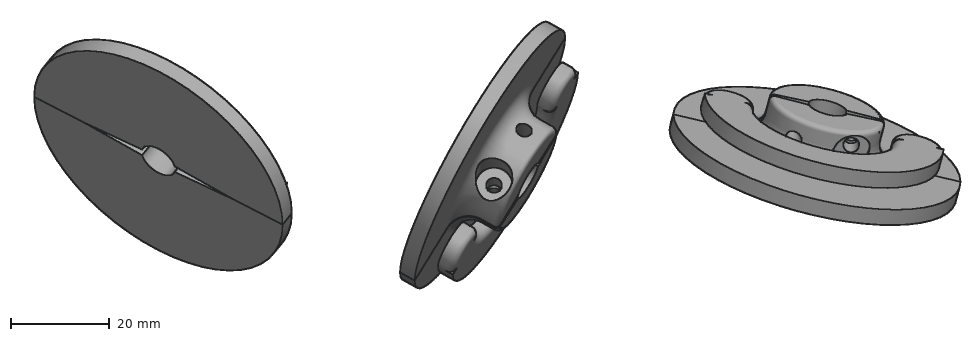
import cadquery as cq
import math

FLANGE_RADIUS = 30.0
FLANGE_THICKNESS = 3.5
HUB_RADIUS = 12.0
COLLAR_DEPTH = 12.5
BORE_RADIUS = 4.0
ROOT_FILLET = 5.0
RIM_FILLET = 1.0

GAP_HALF_LENGTH = 18.0
GAP_HALF_HEIGHT = 1.2

SCREW_OFFSET = 6.0
SCREW_Y = 8.0
SCREW_DIAMETER = 3.2
HEAD_DIAMETER = 7.5
HEAD_SEAT_HEIGHT = 6.0

RING_FRONT_Y = 6.0
RING_THICKNESS = 3.5
RING_OUTER_RADIUS = 24.95
RING_INNER_RADIUS = 14.5
RING_INNER_FILLET = 2.0
END_HEIGHT = 5.6
END_FILLET = 1.5


def xz_plane(y):
    """Plane facing +Y at the given depth, with local x along -X and local y along Z."""
    return cq.Plane(origin=(0, y, 0), xDir=(-1, 0, 0), normal=(0, 1, 0))


def make_collar_body():
    """Full turned collar: flange, flared root, hub and rounded rim around the Y axis."""
    root_center = (HUB_RADIUS + ROOT_FILLET, FLANGE_THICKNESS + ROOT_FILLET)
    root_offset = ROOT_FILLET * math.sqrt(0.5)
    root_middle = (root_center[0] - root_offset, root_center[1] - root_offset)
    rim_center = (HUB_RADIUS - RIM_FILLET, COLLAR_DEPTH - RIM_FILLET)
    rim_offset = RIM_FILLET * math.sqrt(0.5)
    rim_middle = (rim_center[0] + rim_offset, rim_center[1] + rim_offset)
    return (
        cq.Workplane("XY")
        .moveTo(BORE_RADIUS, 0)
        .lineTo(FLANGE_RADIUS, 0)
        .lineTo(FLANGE_RADIUS, FLANGE_THICKNESS)
        .lineTo(root_center[0], FLANGE_THICKNESS)
        .threePointArc(root_middle, (HUB_RADIUS, root_center[1]))
        .lineTo(HUB_RADIUS, rim_center[1])
        .threePointArc(rim_middle, (rim_center[0], COLLAR_DEPTH))
        .lineTo(BORE_RADIUS, COLLAR_DEPTH)
        .close()
        .revolve(360, (0, 0, 0), (0, 1, 0))
    )


def make_upper_space():
    """Region above the split line, with the tapered gap left out around the axis."""
    return (
        cq.Workplane(xz_plane(0))
        .polyline(
            [
                (-FLANGE_RADIUS, 0),
                (-GAP_HALF_LENGTH, 0),
                (0, GAP_HALF_HEIGHT),
                (GAP_HALF_LENGTH, 0),
                (FLANGE_RADIUS, 0),
                (FLANGE_RADIUS, FLANGE_RADIUS),
                (-FLANGE_RADIUS, FLANGE_RADIUS),
            ]
        )
        .close()
        .extrude(COLLAR_DEPTH)
    )


def make_collar_half():
    """Upper collar half: a plain screw hole at -X and a counterbored one at +X."""
    half = make_collar_body().intersect(make_upper_space())
    screw_plane = cq.Plane(origin=(0, SCREW_Y, 0), xDir=(1, 0, 0), normal=(0, 0, 1))
    screw_holes = (
        cq.Workplane(screw_plane)
        .pushPoints([(-SCREW_OFFSET, 0), (SCREW_OFFSET, 0)])
        .circle(SCREW_DIAMETER / 2)
        .extrude(FLANGE_RADIUS)
    )
    head_recess = (
        cq.Workplane(screw_plane)
        .workplane(offset=HEAD_SEAT_HEIGHT)
        .center(SCREW_OFFSET, 0)
        .circle(HEAD_DIAMETER / 2)
        .extrude(FLANGE_RADIUS)
    )
    return half.cut(screw_holes).cut(head_recess)


def make_ring_end(side):
    """Rounded end that stands on the half ring; side is -1 or 1 along X."""
    middle = (RING_OUTER_RADIUS + RING_INNER_RADIUS) / 2
    return (
        cq.Workplane(xz_plane(RING_FRONT_Y))
        .moveTo(-side * RING_INNER_RADIUS, 0)
        .threePointArc((-side * middle, END_HEIGHT), (-side * RING_OUTER_RADIUS, 0))
        .close()
        .extrude(RING_THICKNESS)
        .faces(">Y")
        .edges("%CIRCLE")
        .fillet(END_FILLET)
    )


def make_half_ring():
    """Lower half ring with its inner back edge rounded and a rounded end on each side."""
    ring = (
        cq.Workplane(xz_plane(RING_FRONT_Y))
        .moveTo(-RING_OUTER_RADIUS, 0)
        .threePointArc((0, -RING_OUTER_RADIUS), (RING_OUTER_RADIUS, 0))
        .lineTo(RING_INNER_RADIUS, 0)
        .threePointArc((0, -RING_INNER_RADIUS), (-RING_INNER_RADIUS, 0))
        .close()
        .extrude(RING_THICKNESS)
    )
    inner_edge = cq.selectors.RadiusNthSelector(0)
    ring = ring.faces(">Y").edges(inner_edge).fillet(RING_INNER_FILLET)
    for side in (-1, 1):
        ring = ring.union(make_ring_end(side))
    return ring


upper_half = make_collar_half()
lower_half = upper_half.rotate((0, 0, 0), (0, 1, 0), 180)
half_ring = make_half_ring()

result = cq.Compound.makeCompound([upper_half.val(), lower_half.val(), half_ring.val()])